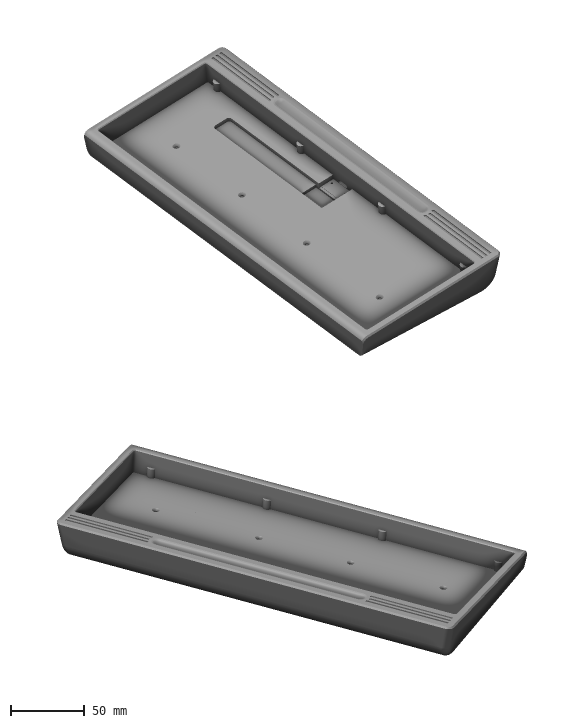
import cadquery as cq
import math


WIDTH = 297.5
DEPTH = 123.5
HEIGHT = 31.2
TILT = 5.9
WALL_DRAFT = 10.0
NOSE_LENGTH = 4.8
NOSE_DROP = 2.5
REAR_BOTTOM_ROUND = 13.5
SIDE_ROUND = 4.8
RIM_CHAMFER = 1.2


CAVITY_WIDTH = 285.5
CAVITY_FRONT = 8.3
CAVITY_BACK = 104.5
CAVITY_DEPTH = 17.9
CAVITY_CORNER = 1.5
CAVITY_CHAMFER = 0.5

POST_RADIUS = 3.3
POST_HEIGHT = 7.0
FRONT_POST_INSET = 1.2
REAR_POST_INSET = 0.5
INNER_POST_X = (-43.7, 42.8, 129.7)
FRONT_POST_X = (-130.5, *INNER_POST_X)
REAR_POST_X = (-132.5, *INNER_POST_X)

TROUGH_V = 114.2
TROUGH_LENGTH = 159.5
TROUGH_WIDTH = 7.7
TROUGH_RADIUS = 6.5
TROUGH_CHAMFER = 0.5

GROOVE_WIDTH = 1.8
GROOVE_PITCH = 3.5
GROOVE_DEPTH = 1.0
GROOVE_OUTER_X = CAVITY_WIDTH / 2 + CAVITY_CHAMFER
GROOVE_INNER_X = 81.8
MIDDLE_GROOVE_INNER_X = 82.7

CHANNEL_LEFT = -105.3
CHANNEL_FRONT = 77.5
CHANNEL_BACK = 92.0
CHANNEL_DEPTH = 3.3
CHANNEL_CORNER = 2.5

RECESS_RIGHT = 10.5
WELL_LEFT = -13.7
WELL_DEPTH = 6.0
PAD_LEFT = -10.0
PAD_FRONT = 93.7
PAD_DEPTH = 4.0
LIP_DEPTH = 4.2

PAD_HOLE_X = (-7.5, 7.5)
PAD_HOLE_V = 101.0
PAD_HOLE_DIAMETER = 1.65
PAD_HOLE_DEPTH = 2.5

PORT_WIDTH = 9.0
PORT_HEIGHT = 3.0
PORT_DROP = 2.0
PORT_LENGTH = 6.0

PLATE_WIDTH = 226.7
PLATE_FRONT = 37.0
PLATE_BACK = 74.7
PLATE_CORNER = 4.0
PLATE_THICKNESS = 2.0
SCREW_X = (-108.0, -38.5, 30.3, 107.7)
SCREW_V = 47.3
SCREW_DIAMETER = 2.53
SCREW_HEAD_DIAMETER = 5.5
SCREW_HEAD_ANGLE = 90.0

SIN = math.sin(math.radians(TILT))
COS = math.cos(math.radians(TILT))
DRAFT_SLOPE = math.tan(math.radians(WALL_DRAFT))
RIM_HALF_WIDTH = WIDTH / 2 + RIM_CHAMFER * math.sin(math.radians(WALL_DRAFT))
FRONT_Y = -DEPTH / 2 - NOSE_DROP * SIN
REAR_Y = DEPTH / 2 + RIM_CHAMFER * math.sin(math.radians(WALL_DRAFT - TILT))
REAR_Z = HEIGHT + RIM_CHAMFER * SIN
DECK_LENGTH = (REAR_Y - FRONT_Y) / COS
FRONT_Z = REAR_Z - DECK_LENGTH * SIN
DECK = cq.Plane(origin=(0, FRONT_Y, FRONT_Z), xDir=(1, 0, 0), normal=(0, -SIN, COS))
SQUARE_TO_DECK = cq.selectors.ParallelDirSelector(DECK.zDir)


def near(x, y, z):
    return cq.selectors.NearestToPointSelector((x, y, z))


def near_deck(x, v):
    return cq.selectors.NearestToPointSelector(DECK.toWorldCoords((x, v, 0)).toTuple())


def at_depth(depth):
    """Workplane parallel to the deck, with local X and V."""
    return cq.Workplane(DECK).workplane(offset=-depth)


def across(v, depth):
    """Workplane facing +X, with local V and height above the deck, centred at v and depth."""
    origin = DECK.toWorldCoords((0, v, -depth))
    return cq.Workplane(cq.Plane(origin, xDir=DECK.yDir, normal=(1, 0, 0)))


def sunk_box(left, right, front, back, top_depth, thickness):
    return (
        at_depth(top_depth + thickness)
        .center((left + right) / 2, (front + back) / 2)
        .rect(right - left, back - front)
        .extrude(thickness)
    )


def outer_block():
    nose_radius = (NOSE_LENGTH**2 + NOSE_DROP**2) / (2 * NOSE_DROP)
    half_angle = math.atan2(NOSE_DROP, NOSE_LENGTH)
    nose_middle = (
        NOSE_LENGTH - nose_radius * math.sin(half_angle),
        nose_radius * (math.cos(half_angle) - 1),
    )
    below = 2 * HEIGHT
    block = (
        across(0, 0)
        .moveTo(NOSE_LENGTH, 0)
        .lineTo(DECK_LENGTH, 0)
        .lineTo(DECK_LENGTH - below * DRAFT_SLOPE, -below)
        .lineTo(0, -below)
        .lineTo(0, -NOSE_DROP)
        .threePointArc(nose_middle, (NOSE_LENGTH, 0))
        .close()
        .extrude(RIM_HALF_WIDTH, both=True)
    )
    above_ground = cq.Workplane("XY").box(2 * WIDTH, 2 * DEPTH, below, centered=(True, True, False))
    block = block.intersect(above_ground)
    side_wedge = (
        cq.Workplane(cq.Plane(DECK.origin, xDir=(1, 0, 0), normal=DECK.yDir))
        .moveTo(-RIM_HALF_WIDTH, 0)
        .lineTo(-RIM_HALF_WIDTH, below)
        .lineTo(-RIM_HALF_WIDTH + below * DRAFT_SLOPE, below)
        .close()
        .extrude(2 * DEPTH, both=True)
    )
    return block.cut(side_wedge).cut(side_wedge.mirror("YZ"))


def rounded_block():
    block = outer_block()
    block = block.edges(near(0, REAR_Y, 0)).fillet(REAR_BOTTOM_ROUND)
    for side in (-1, 1):
        block = block.edges(near(side * WIDTH / 2, REAR_Y, HEIGHT / 2)).fillet(SIDE_ROUND)
    return block.edges(near(0, REAR_Y, REAR_Z)).chamfer(RIM_CHAMFER)


def cavity():
    half = CAVITY_WIDTH / 2
    pocket = sunk_box(-half, half, CAVITY_FRONT, CAVITY_BACK, 0, CAVITY_DEPTH)
    return pocket.edges(SQUARE_TO_DECK).fillet(CAVITY_CORNER)


def posts():
    front = [(x, CAVITY_FRONT - FRONT_POST_INSET) for x in FRONT_POST_X]
    rear = [(x, CAVITY_BACK + REAR_POST_INSET) for x in REAR_POST_X]
    return at_depth(CAVITY_DEPTH).pushPoints(front + rear).circle(POST_RADIUS).extrude(POST_HEIGHT)


def trough():
    """Shallow hollow with round ends: part of a cylinder and two balls centred above the deck."""
    end_x = (TROUGH_LENGTH - TROUGH_WIDTH) / 2
    axis_height = math.sqrt(TROUGH_RADIUS**2 - (TROUGH_WIDTH / 2) ** 2)
    tool = across(TROUGH_V, -axis_height).circle(TROUGH_RADIUS).extrude(end_x, both=True)
    centres = [(-end_x, TROUGH_V), (end_x, TROUGH_V)]
    balls = at_depth(-axis_height).pushPoints(centres).sphere(TROUGH_RADIUS)
    return tool.union(balls)


def grooves():
    tools = cq.Workplane(DECK)
    for row, inner_x in ((-1, GROOVE_INNER_X), (0, MIDDLE_GROOVE_INNER_X), (1, GROOVE_INNER_X)):
        front = TROUGH_V + row * GROOVE_PITCH - GROOVE_WIDTH / 2
        groove = sunk_box(inner_x, GROOVE_OUTER_X, front, front + GROOVE_WIDTH, 0, GROOVE_DEPTH)
        tools = tools.add(groove).add(groove.mirror("YZ"))
    return tools.combine()


def floor_recesses():
    channel = sunk_box(
        CHANNEL_LEFT, RECESS_RIGHT, CHANNEL_FRONT, CHANNEL_BACK, CAVITY_DEPTH, CHANNEL_DEPTH
    )
    channel = channel.edges(SQUARE_TO_DECK).edges("<X").fillet(CHANNEL_CORNER)
    well = sunk_box(WELL_LEFT, RECESS_RIGHT, CHANNEL_FRONT, CHANNEL_BACK, CAVITY_DEPTH, WELL_DEPTH)
    lip = sunk_box(PAD_LEFT, RECESS_RIGHT, CHANNEL_BACK, PAD_FRONT, CAVITY_DEPTH, LIP_DEPTH)
    pad = sunk_box(PAD_LEFT, RECESS_RIGHT, PAD_FRONT, CAVITY_BACK, CAVITY_DEPTH, PAD_DEPTH)
    return channel.union(well).union(lip).union(pad)


def pad_holes():
    centres = [(x, PAD_HOLE_V) for x in PAD_HOLE_X]
    plane = at_depth(CAVITY_DEPTH + PAD_DEPTH).pushPoints(centres)
    return plane.circle(PAD_HOLE_DIAMETER / 2).extrude(-PAD_HOLE_DEPTH)


def port():
    origin = DECK.toWorldCoords((0, CAVITY_BACK, -CAVITY_DEPTH - PORT_DROP))
    wall = cq.Workplane(cq.Plane(origin, xDir=(1, 0, 0), normal=-DECK.yDir))
    return wall.slot2D(PORT_WIDTH, PORT_HEIGHT).extrude(-PORT_LENGTH)


def plate_blank():
    half = PLATE_WIDTH / 2
    blank = sunk_box(-half, half, PLATE_FRONT, PLATE_BACK, CAVITY_DEPTH, PLATE_THICKNESS)
    return blank.edges(SQUARE_TO_DECK).fillet(PLATE_CORNER)


def build_case():
    body = rounded_block().cut(cavity())
    body = body.edges(near_deck(0, CAVITY_BACK)).chamfer(CAVITY_CHAMFER)
    body = body.cut(trough())
    body = body.edges(near_deck(0, TROUGH_V + TROUGH_WIDTH / 2)).chamfer(TROUGH_CHAMFER)
    body = body.union(posts())
    for tool in (grooves(), floor_recesses(), pad_holes(), port(), plate_blank()):
        body = body.cut(tool)
    return body


def build_plate():
    screws = [(x, SCREW_V) for x in SCREW_X]
    return (
        plate_blank()
        .copyWorkplane(at_depth(CAVITY_DEPTH))
        .pushPoints(screws)
        .cskHole(SCREW_DIAMETER, SCREW_HEAD_DIAMETER, SCREW_HEAD_ANGLE)
    )


case = build_case()
plate = build_plate()
result = cq.Compound.makeCompound([case.val(), plate.val()])